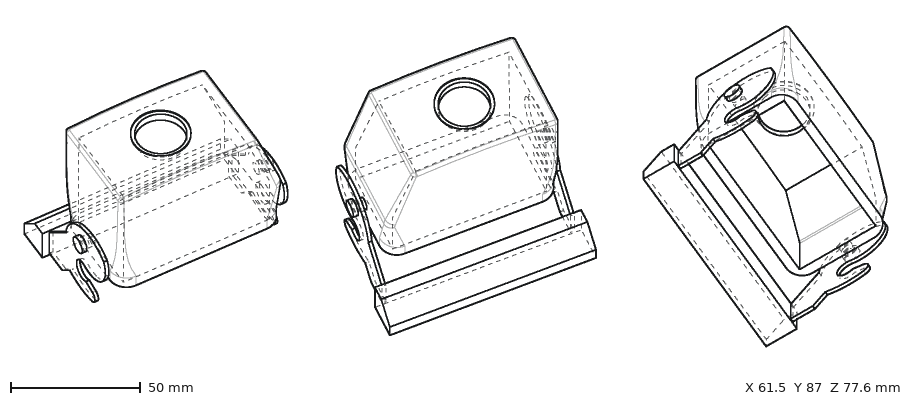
import cadquery as cq
import math


hood_width = 43.0
hood_length = 72.9
hood_height = 54.8
rim_height = 5.65
front_draft = 0.3
knee_height = 23.2
knee_radius = 8.3
slope_angle = 20.0
crown_radius = 330.6
wall = 4.0
top_edge_radius = 1.3

rim_corner_radius = 7.4
knee_corner_radius = 3.1
top_corner_radius = 1.5
front_corner_stations = [(22.6, 2.8), (34.8, 2.0)]
cutter_margin = 2.6

entry_y = -5.7
entry_diameter = 20.2
entry_recess_diameter = 23.3
entry_recess_depth = 0.5

peg_height = 10.0
peg_radius = 2.5
peg_head_radius = 3.5
peg_head_end = 42.6

bar_length = 87.0
bar_size = 14.2
bar_chamfer = 8.2
bar_left = -40.0
bar_bottom = -22.8
plate_inner_face = 39.0
plate_thickness = 1.6
shank_inset = 1.1
shank_bend_x = -15.7
shank_angle = 45.0
shoulder_center = (5.3, 0.9)
shoulder_radius = 18.4
nose_radius = 12.4
slot_center = (0.0, -6.2)
hook_radius = 27.75
hook_tip_radius = 2.9
hook_tip_x = 9.75
hook_slant = 14.0

half_width = hood_width / 2
half_length = hood_length / 2
slope = math.radians(slope_angle)
crown_center_z = hood_height - crown_radius
knee_tangent = knee_radius * math.tan(slope / 2)
knee_low_z = knee_height - knee_tangent
knee_center = (half_length - knee_radius, knee_low_z)
knee_high = (
    half_length - knee_tangent * math.sin(slope),
    knee_height + knee_tangent * math.cos(slope),
)


def front_y(z):
    """Y of the drafted front wall at height z above the rim."""
    return -half_length + (z - rim_height) * math.tan(math.radians(front_draft))


def line_circle(point, angle, center, radius, sign):
    """Meeting point of a line with a circle, the nearer (-1) or farther (+1) one along the line."""
    direction = (math.cos(angle), math.sin(angle))
    offset = (point[0] - center[0], point[1] - center[1])
    along = direction[0] * offset[0] + direction[1] * offset[1]
    across = offset[0] * direction[1] - offset[1] * direction[0]
    distance = -along + sign * math.sqrt(radius**2 - across**2)
    return (point[0] + distance * direction[0], point[1] + distance * direction[1])


def on_circle(center, radius, angle):
    """Point of a circle at an angle in radians."""
    return (center[0] + radius * math.cos(angle), center[1] + radius * math.sin(angle))


def hood_profile():
    """Side outline of the hood in the YZ plane."""
    crown_center = (entry_y, crown_center_z)
    front_angle = math.pi / 2 - math.radians(front_draft)
    front_top = line_circle((-half_length, rim_height), front_angle, crown_center, crown_radius, 1)
    slope_top = line_circle(knee_high, math.pi / 2 + slope, crown_center, crown_radius, 1)
    knee_mid = on_circle(knee_center, knee_radius, slope / 2)
    return (
        cq.Workplane("YZ")
        .moveTo(-half_length, 0)
        .lineTo(half_length, 0)
        .lineTo(half_length, knee_low_z)
        .threePointArc(knee_mid, knee_high)
        .lineTo(*slope_top)
        .threePointArc((entry_y, hood_height), front_top)
        .lineTo(-half_length, rim_height)
        .close()
    )


def corner_section(y, z, radius, inward, tilt=0.0):
    """Section of a corner cutter on the +X side, at a corner point of the YZ outline.

    inward is the sign of Y that leads into the hood, tilt the lean of the wall in radians.
    """
    plane = cq.Plane(
        origin=(half_width, y, z),
        xDir=(-1, 0, 0),
        normal=(0, inward * math.sin(tilt), math.cos(tilt)),
    )
    side = -inward
    middle = radius * (1 - math.sqrt(0.5))
    return (
        cq.Workplane(plane)
        .moveTo(radius, 0)
        .threePointArc((middle, side * middle), (0, side * radius))
        .lineTo(-cutter_margin, side * radius)
        .lineTo(-cutter_margin, -side * cutter_margin)
        .lineTo(radius, -side * cutter_margin)
        .close()
    )


def loft(sections):
    """Solid through a row of sections."""
    return cq.Workplane(cq.Solid.makeLoft([s.wires().val() for s in sections]))


def rim_cutter(inward):
    """Even rounding of the rim's corner."""
    y = -inward * half_length
    return corner_section(y, 0, rim_corner_radius, inward).extrude(rim_height)


def front_cutter():
    """Narrowing rounding of the front corner, from the rim to the crown."""
    stations = [
        (rim_height, rim_corner_radius),
        *front_corner_stations,
        (hood_height, top_corner_radius),
    ]
    return loft([corner_section(front_y(z), z, radius, 1) for z, radius in stations])


def back_cutters():
    """Roundings of the back corner: below the knee, around it and along the slope."""
    slope_length = (hood_height - knee_high[1]) / math.cos(slope)
    slope_end = (
        knee_high[0] - slope_length * math.sin(slope),
        knee_high[1] + slope_length * math.cos(slope),
    )
    rim_section = corner_section(half_length, rim_height, rim_corner_radius, -1)
    knee_section = corner_section(half_length, knee_low_z, knee_corner_radius, -1)
    slope_start_section = corner_section(*knee_high, knee_corner_radius, -1, slope)
    slope_end_section = corner_section(*slope_end, top_corner_radius, -1, slope)
    around_knee = knee_section.revolve(slope_angle, (0.9, knee_radius, 0), (0, knee_radius, 0))
    return [
        loft([rim_section, knee_section]),
        around_knee,
        loft([slope_start_section, slope_end_section]),
    ]


def make_form():
    """Outer form of the hood, solid inside, with rounded corners and top edges."""
    form = hood_profile().extrude(half_width, both=True)
    for cutter in [rim_cutter(1), rim_cutter(-1), front_cutter(), *back_cutters()]:
        form = form.cut(cutter).cut(cutter.mirror("YZ"))
    return form.faces(">Z").edges().fillet(top_edge_radius)


def make_cavity():
    """Space inside the hood, one wall thickness in from its outline and open below."""
    inside = hood_profile().offset2D(-wall, "intersection").extrude(half_width - wall, both=True)
    opening = cq.Workplane("XY").box(
        hood_width - 2 * wall,
        hood_length - 2 * wall,
        2 * wall,
    )
    return inside.union(opening)


def make_entry():
    """Cable hole through the crown with a shallow recess around it."""
    top = cq.Workplane("XY", origin=(0, entry_y, hood_height))
    hole = top.circle(entry_diameter / 2).extrude(-hood_height / 2)
    recess = top.circle(entry_recess_diameter / 2).extrude(-entry_recess_depth)
    return hole.union(recess)


def make_peg(side):
    """Headed pivot peg on the end wall at side (+1 or -1) along Y."""
    plane = cq.Plane(origin=(0, 0, peg_height), xDir=(1, 0, 0), normal=(0, side, 0))
    plate_outer_face = plate_inner_face + plate_thickness
    root = half_length - wall / 2
    neck = (
        cq.Workplane(plane)
        .workplane(offset=root)
        .circle(peg_radius)
        .extrude(plate_outer_face - root)
    )
    head = (
        cq.Workplane(plane)
        .workplane(offset=plate_outer_face)
        .circle(peg_head_radius)
        .extrude(peg_head_end - plate_outer_face)
    )
    return neck.union(head)


def make_hood():
    """Hood with its cable entry and the two pegs the lever turns on."""
    hood = make_form().cut(make_cavity()).cut(make_entry())
    for side in (1, -1):
        hood = hood.union(make_peg(side))
    return hood


def make_plate(side):
    """Hooked lever plate at side (+1 or -1) along Y, with its pivot hole."""
    pivot = (0.0, peg_height)
    nose_center = (shoulder_center[0], peg_height)
    bar_right = bar_left + bar_size
    shank_bottom = bar_bottom + shank_inset
    shank_top = (bar_right, bar_bottom + bar_size - shank_inset)
    shank = math.radians(shank_angle)

    center_gap = nose_center[1] - shoulder_center[1]
    cross_rise = (shoulder_radius**2 - nose_radius**2 - center_gap**2) / (2 * center_gap)
    cross_angle = math.asin(cross_rise / nose_radius)
    nose_start = on_circle(nose_center, nose_radius, cross_angle)
    shoulder_start = line_circle(shank_top, shank, shoulder_center, shoulder_radius, -1)
    shoulder_mid = (shoulder_center[0], shoulder_center[1] + shoulder_radius)

    to_slot = (slot_center[0] - nose_center[0], slot_center[1] - nose_center[1])
    slot_radius = math.hypot(*to_slot) - nose_radius
    slot_angle = math.atan2(to_slot[1], to_slot[0])
    nose_end = on_circle(nose_center, nose_radius, slot_angle)
    nose_mid = on_circle(nose_center, nose_radius, (cross_angle + slot_angle) / 2)
    slot_left = (slot_center[0] - slot_radius, slot_center[1])

    slant = math.radians(hook_slant)
    tip_x = hook_tip_x - hook_tip_radius
    tip_center = (tip_x, peg_height - math.sqrt((hook_radius - hook_tip_radius) ** 2 - tip_x**2))
    tip_start = on_circle(tip_center, hook_tip_radius, math.pi / 2 - slant)
    tip_mid = on_circle(tip_center, hook_tip_radius, 0)
    tip_angle = math.atan2(tip_center[1] - pivot[1], tip_center[0])
    hook_end = on_circle(pivot, hook_radius, tip_angle)
    slot_end = line_circle(tip_start, math.pi - slant, slot_center, slot_radius, -1)
    hook_low = (pivot[0], pivot[1] - hook_radius)
    shank_bend = (shank_bend_x, shank_bottom)
    hook_start = line_circle(shank_bend, shank, pivot, hook_radius, -1)

    inner_face_y = side * plate_inner_face
    outline = (
        cq.Workplane("XZ", origin=(0, inner_face_y, 0))
        .moveTo(bar_right, shank_bottom)
        .lineTo(*shank_top)
        .lineTo(*shoulder_start)
        .threePointArc(shoulder_mid, nose_start)
        .threePointArc(nose_mid, nose_end)
        .threePointArc(slot_left, slot_end)
        .lineTo(*tip_start)
        .threePointArc(tip_mid, hook_end)
        .threePointArc(hook_low, hook_start)
        .lineTo(*shank_bend)
        .close()
    )
    pivot_hole = cq.Workplane("XZ", origin=(0, inner_face_y, peg_height)).circle(peg_radius)
    thickness = -side * plate_thickness
    return outline.extrude(thickness).cut(pivot_hole.extrude(thickness))


def make_lever():
    """Handle bar with a slanted front and a hooked plate at each end."""
    lever = (
        cq.Workplane("XY")
        .box(bar_size, bar_length, bar_size, centered=(False, True, False))
        .translate((bar_left, 0, bar_bottom))
        .edges("<X and >Z")
        .chamfer(bar_chamfer)
    )
    for side in (1, -1):
        lever = lever.union(make_plate(side))
    return lever


hood = make_hood()
lever = make_lever()
result = cq.Compound.makeCompound([hood.val(), lever.val()])